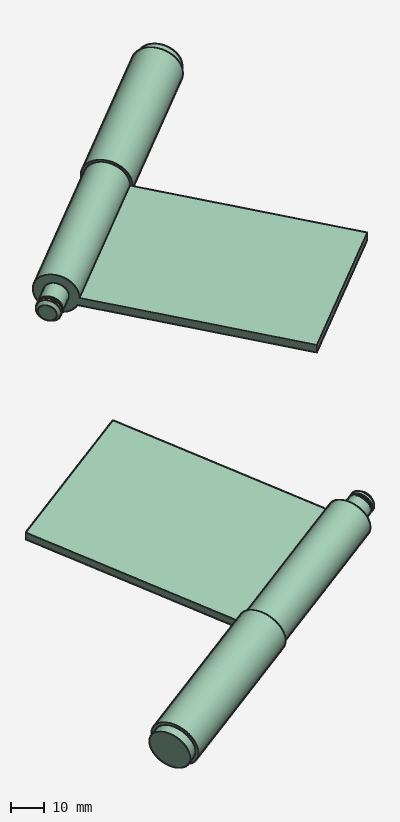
import cadquery as cq

barrel_length = 52.0
sleeve_radius = 8.0
knuckle_radius = 7.2
leaf_reach = 80.0
leaf_thickness = 3.0
pin_radius = 4.0
pin_projection = 9.0
head_radius = 7.0
head_height = 3.0
tip_chamfer = 1.0
groove_radius = 3.6
groove_width = 0.8
groove_to_tip = 2.1

pin_tip = -(barrel_length + pin_projection)


def cylinder(radius, start, length):
    """Solid cylinder on the hinge axis, running from Y = start toward +Y."""
    return (
        cq.Workplane("XZ", origin=(0, start, 0))
        .circle(radius)
        .extrude(-length)
    )


def make_sleeve():
    """Plain barrel above the leaf, bored for the pin."""
    bore = cylinder(pin_radius, 0, barrel_length)
    return cylinder(sleeve_radius, 0, barrel_length).cut(bore)


def make_leaf():
    """Flat leaf joined to its knuckle, bored for the pin."""
    knuckle = cylinder(knuckle_radius, -barrel_length, barrel_length)
    plate = cq.Workplane("XY").box(
        leaf_reach, barrel_length, leaf_thickness, centered=False
    ).translate((0, -barrel_length, -leaf_thickness))
    bore = cylinder(pin_radius, -barrel_length, barrel_length)
    return knuckle.union(plate).cut(bore)


def make_pin():
    """Headed pin with a chamfered tip and a retaining groove."""
    shaft = cylinder(pin_radius, pin_tip, barrel_length - pin_tip)
    shaft = shaft.faces("<Y").chamfer(tip_chamfer)
    groove_start = pin_tip + groove_to_tip
    groove = cylinder(pin_radius, groove_start, groove_width).cut(
        cylinder(groove_radius, groove_start, groove_width)
    )
    head = cylinder(head_radius, barrel_length, head_height)
    return shaft.cut(groove).union(head)


sleeve = make_sleeve()
leaf = make_leaf()
pin = make_pin()

result = cq.Compound.makeCompound([sleeve.val(), leaf.val(), pin.val()])